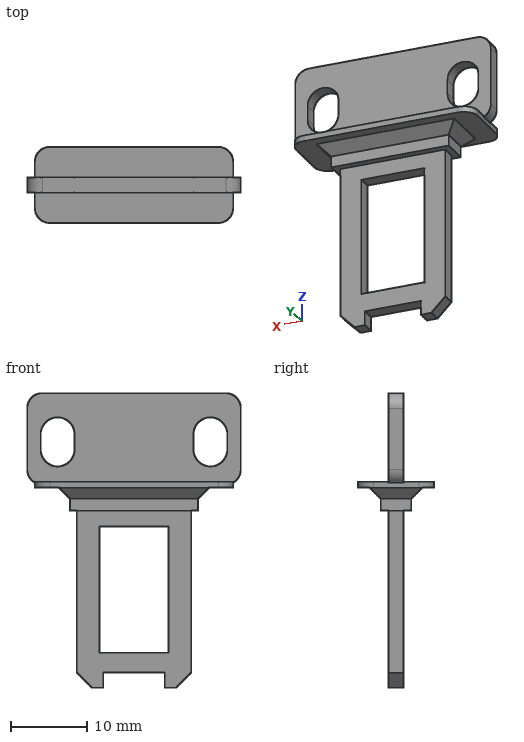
import cadquery as cq

total_height = 38.6
sheet_thickness = 2.0

plate_width = 28.0
plate_height = 12.0
plate_corner_radius = 2.0
slot_width = 4.4
slot_height = 6.4
slot_spacing = 20.0
slot_center_below_top = 6.4

flange_width = 26.0
flange_depth = 10.0
flange_thickness = 0.8
flange_corner_radius = 2.0
plate_exposed_height = 11.6
flange_top_z = total_height - plate_exposed_height
flange_bottom_z = flange_top_z - flange_thickness

collar_width = 16.8
collar_depth = 4.0
collar_height = 1.55
bevel_height = 1.45
bevel_overhang = 1.45
bevel_bottom_z = flange_bottom_z - bevel_height
collar_bottom_z = bevel_bottom_z - collar_height

tongue_width = 15.0
tip_chamfer = 2.0
window_width = 9.0
window_bottom_z = 4.6
window_top_z = 21.1
notch_width = 8.0
notch_depth = 2.0


def block(width, depth, bottom_z, top_z):
    """Box centred on X and Y between two heights."""
    height = top_z - bottom_z
    return cq.Workplane("XY").workplane(offset=bottom_z).rect(width, depth).extrude(height)


def make_mounting_plate():
    """Upright rounded plate with two vertical slots."""
    plate = block(plate_width, sheet_thickness, total_height - plate_height, total_height)
    plate = plate.edges("|Y").fillet(plate_corner_radius)
    slots = (
        cq.Workplane("XZ")
        .center(0, total_height - slot_center_below_top)
        .rarray(slot_spacing, 1, 2, 1)
        .slot2D(slot_height, slot_width, 90)
        .extrude(sheet_thickness, both=True)
    )
    return plate.cut(slots)


def make_flange():
    """Thin horizontal flange with rounded corners."""
    flange = block(flange_width, flange_depth, flange_bottom_z, flange_top_z)
    return flange.edges("|Z").fillet(flange_corner_radius)


def make_neck():
    """Rectangular collar that flares out to meet the flange."""
    collar = block(collar_width, collar_depth, collar_bottom_z, bevel_bottom_z)
    bevel = (
        cq.Workplane("XY")
        .workplane(offset=bevel_bottom_z)
        .rect(collar_width, collar_depth)
        .workplane(offset=bevel_height)
        .rect(collar_width + 2 * bevel_overhang, collar_depth + 2 * bevel_overhang)
        .loft(ruled=True)
    )
    return collar.union(bevel)


def make_tongue():
    """Flat tongue with chamfered tip corners, a window and a tip notch."""
    tongue = block(tongue_width, sheet_thickness, 0, collar_bottom_z)
    tongue = tongue.faces("<Z").edges("|Y").chamfer(tip_chamfer)
    window = block(window_width, sheet_thickness, window_bottom_z, window_top_z)
    notch = block(notch_width, sheet_thickness, 0, notch_depth)
    return tongue.cut(window).cut(notch)


result = make_mounting_plate().union(make_flange()).union(make_neck()).union(make_tongue())